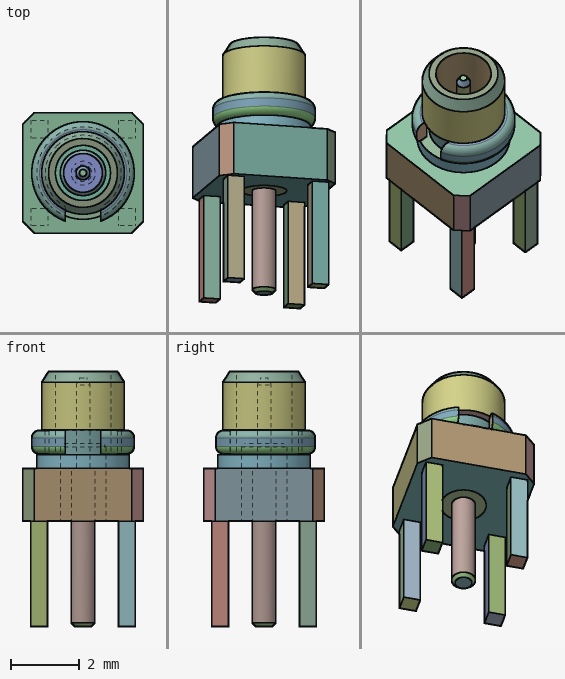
import cadquery as cq

base_bottom = 3.055
base_top = 4.59
collar_top = 4.99
groove_top = 5.705
barrel_top = 7.4

base_width = 3.5
base_corner = 0.34
leg_width = 0.495
leg_pitch = 2.545
collar_radius = 1.35
groove_radius = 1.0
barrel_radius = 1.2
barrel_rim_radius = 1.0
barrel_taper_height = 0.31
socket_radius = 0.8
socket_floor = collar_top

ring_radius = 1.49
ring_inner_radius = 1.1
ring_end_clearance = 0.015
ring_bottom = collar_top + ring_end_clearance
ring_top = groove_top - ring_end_clearance
ring_fillet = 0.22
ring_gap = 1.02

insulator_radius = 0.66
insulator_chamfer = 0.095
insulator_top = socket_floor + 0.325

tail_radius = 0.35
tail_chamfer = 0.1
tail_top = base_top
contact_radius = 0.2
contact_tip_radius = 0.1
contact_taper_height = 0.19
contact_top = 7.21


def cylinder(radius, bottom, top):
    """Vertical cylinder on the Z axis."""
    return cq.Workplane("XY").workplane(offset=bottom).circle(radius).extrude(top - bottom)


def make_leg():
    """Square solder leg on the Z axis."""
    return cq.Workplane("XY").rect(leg_width, leg_width).extrude(base_bottom)


def make_housing():
    """Square base with four legs and a grooved, tapered barrel, bored along its axis."""
    body = (
        cq.Workplane("XY")
        .workplane(offset=base_bottom)
        .rect(base_width, base_width)
        .extrude(base_top - base_bottom)
        .edges("|Z")
        .chamfer(base_corner)
    )
    barrel_profile = [
        (0, base_top),
        (collar_radius, base_top),
        (collar_radius, collar_top),
        (groove_radius, collar_top),
        (groove_radius, groove_top),
        (barrel_radius, groove_top),
        (barrel_radius, barrel_top - barrel_taper_height),
        (barrel_rim_radius, barrel_top),
        (0, barrel_top),
    ]
    barrel = cq.Workplane("XZ").polyline(barrel_profile).close().revolve(360, (0, 0), (0, 1))
    body = body.union(barrel)

    for x in (-leg_pitch / 2, leg_pitch / 2):
        for y in (-leg_pitch / 2, leg_pitch / 2):
            body = body.union(make_leg().translate((x, y, 0)))

    body = body.cut(cylinder(socket_radius, socket_floor, barrel_top))
    return body.cut(cylinder(insulator_radius, base_bottom, socket_floor))


def make_snap_ring():
    """Round-edged ring in the barrel groove, split by a parallel-sided gap at -Y."""
    ring = cylinder(ring_radius, ring_bottom, ring_top).edges().fillet(ring_fillet)
    ring = ring.cut(cylinder(ring_inner_radius, ring_bottom, ring_top))
    gap = (
        cq.Workplane("XY")
        .workplane(offset=ring_bottom)
        .center(0, -ring_radius / 2)
        .rect(ring_gap, ring_radius)
        .extrude(ring_top - ring_bottom)
    )
    return ring.cut(gap)


def make_pin():
    """Stepped contact pin, chamfered at the tail and tapered at the tip."""
    profile = [
        (0, 0),
        (tail_radius - tail_chamfer, 0),
        (tail_radius, tail_chamfer),
        (tail_radius, tail_top),
        (contact_radius, tail_top),
        (contact_radius, contact_top - contact_taper_height),
        (contact_tip_radius, contact_top),
        (0, contact_top),
    ]
    return cq.Workplane("XZ").polyline(profile).close().revolve(360, (0, 0), (0, 1))


def make_insulator(pin_body):
    """Chamfered sleeve between the housing and the pin."""
    sleeve = cylinder(insulator_radius, base_bottom, insulator_top)
    sleeve = sleeve.faces(">Z").chamfer(insulator_chamfer)
    return sleeve.cut(pin_body)


housing = make_housing()
snap_ring = make_snap_ring()
pin = make_pin()
insulator = make_insulator(pin)

result = cq.Compound.makeCompound([housing.val(), snap_ring.val(), pin.val(), insulator.val()])